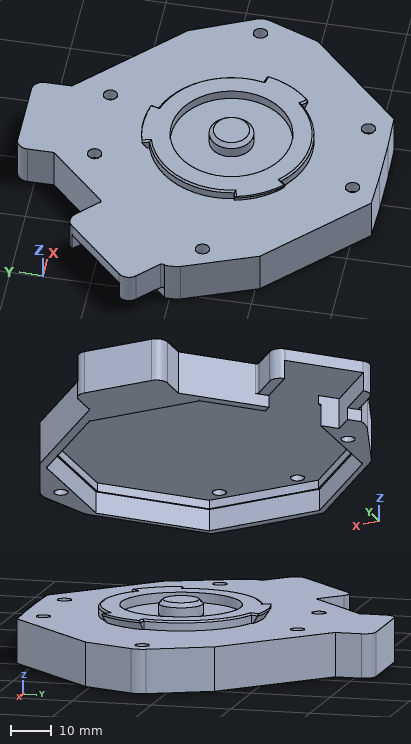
import cadquery as cq
import math

BODY_H = 11.15
RING_TOP = 13.6
SHAFT_TOP = 15.0
ARM_BOTTOM = 3.1
CAVITY_ROOF = 8.0
CAVITY_STEP = 5.7

FLANK_TURN = 45
UPPER_FLANK = 38.1
LOWER_FLANK = 37.3
TAB_HALF_W = 11.9
TAB_END_Y = 51.55
BOTTOM_Y = -37.9
BOTTOM_FLAT_HALF_W = 5.6
BOTTOM_CORNER_X = 15.1
SIDE_CORNER_X = 38.4
SHOULDER_X = 36.2
RIGHT_APEX = (44.0, 0.3)
RIGHT_APEX_R = 4.9
LEFT_ROUND_START = (-45.55, 4.2)
LEFT_ROUND_MIDDLE = (-45.8, 6.1)
LEFT_ROUND_END_Y = 8.1
TAB_R = 3.0

ARM_CENTER = -12.7
ARM_W = 26.3
ARM_OUTER = 49.0
ARM_ROOT = 36.7
ARM_R = 3.0
ARM_ROOT_R = 0.7
POCKET_W = 20.6
POCKET_INNER = 32.4

CAVITY_FLATS = 71.5
CAVITY_UPPER_FLATS = 70.7

RING_R = 20.2
RECESS_D = 30.0
LUG_R = 22.0
LUG_FOOT_R = 20.8
LUG_RIM_H = 0.6
LUG_HALF_ANGLE = 17.5
LUG_ANGLES = (90, 210, 330)
RING_CHAMFER = 0.5
SHAFT_D = 11.0
SHAFT_CHAMFER = 1.05

HOLE_D = 3.4
SIDE_HOLE_X = 38.5
CORNER_HOLE_X = 10.5
CORNER_HOLE_Y = 32.1

ROOT2 = math.sqrt(2)


def turn_to_flank(shape):
    """Turn a shape about the central axis to line up with the flanks."""
    return shape.rotate((0, 0, 0), (0, 0, 1), FLANK_TURN)


def make_body():
    """Plate with tab, 45 degree flanks and rounded side corners."""
    upper_sum = UPPER_FLANK * ROOT2
    lower_sum = LOWER_FLANK * ROOT2
    tab_root_y = upper_sum - TAB_HALF_W
    side_corner_y = SIDE_CORNER_X - lower_sum
    bottom_corner_y = BOTTOM_CORNER_X - lower_sum
    outline = [
        (-TAB_HALF_W, TAB_END_Y),
        (TAB_HALF_W, TAB_END_Y),
        (TAB_HALF_W, tab_root_y),
        (SHOULDER_X, upper_sum - SHOULDER_X),
        RIGHT_APEX,
        (SIDE_CORNER_X, side_corner_y),
        (BOTTOM_CORNER_X, bottom_corner_y),
        (BOTTOM_FLAT_HALF_W, BOTTOM_Y),
        (-BOTTOM_FLAT_HALF_W, BOTTOM_Y),
        (-BOTTOM_CORNER_X, bottom_corner_y),
        (-SIDE_CORNER_X, side_corner_y),
        LEFT_ROUND_START,
    ]
    plate = (
        cq.Workplane("XY")
        .polyline(outline)
        .threePointArc(LEFT_ROUND_MIDDLE, (LEFT_ROUND_END_Y - upper_sum, LEFT_ROUND_END_Y))
        .lineTo(-TAB_HALF_W, tab_root_y)
        .close()
        .extrude(BODY_H)
    )
    plate = plate.edges("|Z").edges(">X").fillet(RIGHT_APEX_R)
    return plate.edges("|Z").edges(">Y").fillet(TAB_R)


def arm_block(width, inner, outer, bottom, top):
    """Block centred on the arm, before the turn into place."""
    block = cq.Workplane("XY").box(width, outer - inner, top - bottom, centered=(True, False, False))
    return block.translate((ARM_CENTER, inner, bottom))


def add_arm(body):
    """Join the rounded arm to the body and soften its two inner corners."""
    arm = arm_block(ARM_W, ARM_ROOT, ARM_OUTER, ARM_BOTTOM, BODY_H)
    arm = turn_to_flank(arm.edges("|Z and >Y").fillet(ARM_R))
    joined = body.union(arm)
    for end in (-1, 1):
        along = ARM_CENTER + end * ARM_W / 2
        x = (along - UPPER_FLANK) / ROOT2
        y = (along + UPPER_FLANK) / ROOT2
        corner = cq.selectors.NearestToPointSelector((x, y, (ARM_BOTTOM + BODY_H) / 2))
        joined = joined.edges("|Z").edges(corner).fillet(ARM_ROOT_R)
    return joined


def octagon(flats, bottom, top):
    """Octagonal prism: the overlap of two square blocks, one turned 45 degrees."""
    square = cq.Workplane("XY").box(flats, flats, top - bottom, centered=(True, True, False))
    prism = square.intersect(turn_to_flank(square))
    return prism.translate((0, 0, bottom))


def make_ring():
    """Raised ring with three undercut lugs and chamfered gaps between them."""
    height = RING_TOP - BODY_H
    ring = cq.Workplane("XY").circle(RING_R).extrude(height)
    reach = 2 * LUG_R
    flare = (
        cq.Workplane("XZ")
        .polyline([
            (0, 0),
            (LUG_FOOT_R, 0),
            (LUG_R, height - LUG_RIM_H),
            (LUG_R, height),
            (0, height),
        ])
        .close()
        .revolve(360, (0, 0), (0, 1))
    )
    for angle in LUG_ANGLES:
        sides = [math.radians(angle + turn) for turn in (-LUG_HALF_ANGLE, LUG_HALF_ANGLE)]
        corners = [(reach * math.cos(a), reach * math.sin(a)) for a in sides]
        sector = cq.Workplane("XY").polyline([(0, 0)] + corners).close().extrude(height)
        ring = ring.union(flare.intersect(sector))
    top_face = ring.faces(">Z")
    gap_arcs = top_face.edges(cq.selectors.RadiusNthSelector(0))
    ring = top_face.edges("%LINE").add(gap_arcs).chamfer(RING_CHAMFER)
    return ring.translate((0, 0, BODY_H))


def hole_pins():
    spots = [(x, y) for x in (-CORNER_HOLE_X, CORNER_HOLE_X) for y in (-CORNER_HOLE_Y, CORNER_HOLE_Y)]
    spots += [(-SIDE_HOLE_X, 0), (SIDE_HOLE_X, 0)]
    return cq.Workplane("XY").pushPoints(spots).circle(HOLE_D / 2).extrude(BODY_H)


def make_shaft_end():
    shaft = cq.Workplane("XY").circle(SHAFT_D / 2).extrude(SHAFT_TOP - BODY_H)
    return shaft.faces(">Z").chamfer(SHAFT_CHAMFER).translate((0, 0, BODY_H))


housing = add_arm(make_body()).union(make_ring())

housing = housing.cut(octagon(CAVITY_FLATS, 0, CAVITY_STEP))
housing = housing.cut(octagon(CAVITY_UPPER_FLATS, CAVITY_STEP, CAVITY_ROOF))
housing = housing.cut(turn_to_flank(arm_block(POCKET_W, POCKET_INNER, ARM_OUTER, 0, CAVITY_ROOF)))

housing = housing.cut(hole_pins())

recess = cq.Workplane("XY").circle(RECESS_D / 2).extrude(RING_TOP - BODY_H).translate((0, 0, BODY_H))
result = housing.cut(recess).union(make_shaft_end())